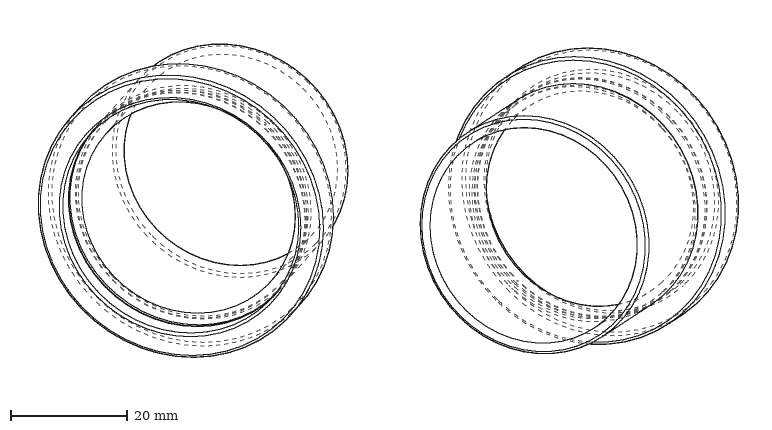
import cadquery as cq

flange_diameter = 50.8
total_length = 32.9
flange_thickness = 7.5
body_diameter = 42.0
bore_diameter = 38.0

groove_diameter = 41.0
groove_width = 1.0

counterbore_diameter = 42.0
counterbore_depth = 5.5

undercut_diameter = 42.2
undercut_width = 1.0

edge_chamfer = 0.5


def cylinder(diameter, start, length):
    """Solid cylinder along +Y, beginning at the given distance from the flange face."""
    return cq.Workplane("XZ", origin=(0, start, 0)).circle(diameter / 2).extrude(-length)


flange = cylinder(flange_diameter, 0, flange_thickness).edges().chamfer(edge_chamfer)

groove = cylinder(groove_diameter, flange_thickness, groove_width)

body_start = flange_thickness + groove_width
body = cylinder(body_diameter, body_start, total_length - body_start)
body = body.faces(">Y").edges().chamfer(edge_chamfer)

bore = cylinder(bore_diameter, 0, total_length)

undercut_start = counterbore_depth - undercut_width
undercut = cylinder(undercut_diameter, undercut_start, undercut_width)

counterbore = cylinder(counterbore_diameter, 0, counterbore_depth)
mouth_diameter = counterbore_diameter + 2 * edge_chamfer
mouth = cylinder(mouth_diameter, -edge_chamfer, 2 * edge_chamfer)
mouth = mouth.faces(">Y").edges().chamfer(edge_chamfer)

bushing = flange.union(groove).union(body)
result = bushing.cut(bore).cut(counterbore).cut(undercut).cut(mouth)